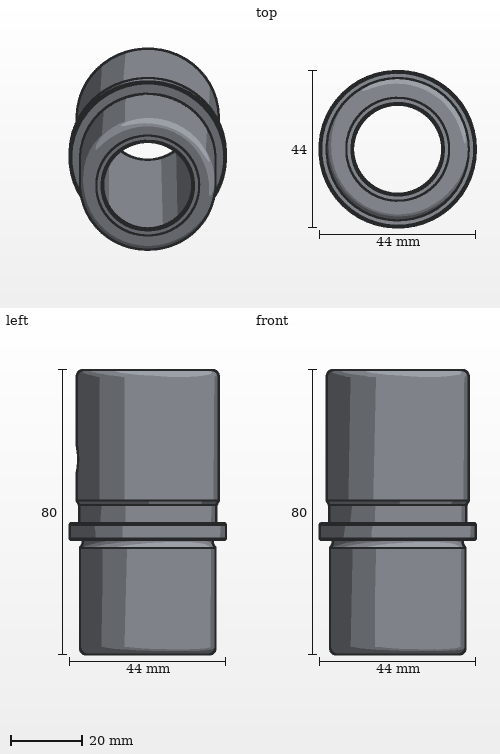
import cadquery as cq

length = 80.0

head_diameter = 40.0
neck_diameter = 38.6
flange_diameter = 44.0
tail_diameter = 38.2
undercut_diameter = 36.7
end_radius = 2.0
flange_bottom = 32.2
flange_thickness = 4.8
flange_chamfer = 0.5
undercut_height = 2.2
head_bottom = 43.3
head_bevel_height = 1.3

side_hole_diameter = 8.0
side_hole_height = 54.9

liner_diameter = 29.0
bore_diameter = 25.0
bore_chamfer = 0.5

head_radius = head_diameter / 2
neck_radius = neck_diameter / 2
flange_radius = flange_diameter / 2
tail_radius = tail_diameter / 2
undercut_radius = undercut_diameter / 2
liner_radius = liner_diameter / 2
flange_top = flange_bottom + flange_thickness
undercut_bottom = flange_bottom - undercut_height
diagonal = 0.5 ** 0.5


def make_housing():
    """Turned sleeve with a locating flange, revolved about Z, with its radial hole."""
    arc_inset = end_radius * (1 - diagonal)
    profile = (
        cq.Workplane("XZ")
        .moveTo(liner_radius, 0)
        .lineTo(tail_radius - end_radius, 0)
        .threePointArc((tail_radius - arc_inset, arc_inset), (tail_radius, end_radius))
        .lineTo(tail_radius, undercut_bottom)
        .radiusArc((undercut_radius, flange_bottom), undercut_height)
        .lineTo(flange_radius - flange_chamfer, flange_bottom)
        .lineTo(flange_radius, flange_bottom + flange_chamfer)
        .lineTo(flange_radius, flange_top - flange_chamfer)
        .lineTo(flange_radius - flange_chamfer, flange_top)
        .lineTo(neck_radius, flange_top)
        .lineTo(neck_radius, head_bottom - head_bevel_height)
        .lineTo(head_radius, head_bottom)
        .lineTo(head_radius, length - end_radius)
        .threePointArc((head_radius - arc_inset, length - arc_inset), (head_radius - end_radius, length))
        .lineTo(liner_radius, length)
        .close()
    )
    sleeve = profile.revolve(360, (0, 0, 0), (0, 1, 0))
    return sleeve.cut(make_side_hole())


def make_side_hole():
    """Cylinder from the axis out past the +Y wall; the hole ends at the liner."""
    return (
        cq.Workplane("XZ")
        .center(0, side_hole_height)
        .circle(side_hole_diameter / 2)
        .extrude(-head_diameter)
    )


def make_liner():
    """Plain bushing with both ends of its bore chamfered."""
    return (
        cq.Workplane("XY")
        .circle(liner_radius)
        .circle(bore_diameter / 2)
        .extrude(length)
        .edges(cq.selectors.RadiusNthSelector(0))
        .chamfer(bore_chamfer)
    )


housing = make_housing().solids()
liner = make_liner().solids()
result = cq.Compound.makeCompound([housing.val(), liner.val()])